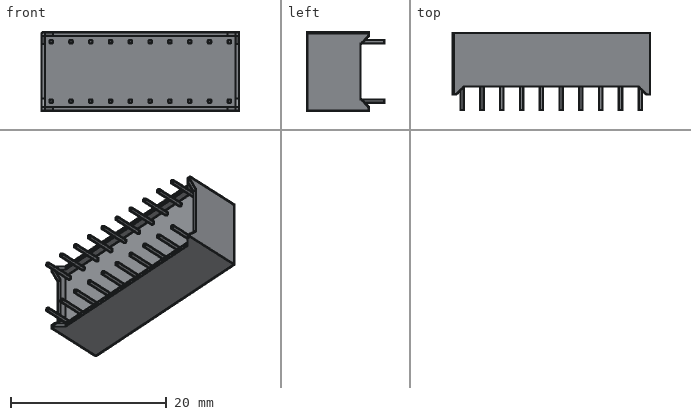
import cadquery as cq

length = 25.4
width = 10.1
body_depth = 7.92
end_wall = 0.5
side_wall = 0.5
cavity_depth = 2.0
key_chamfer = 0.2

side_notch_depth = 1.0
end_notch_depth = 1.06

pin_diameter = 0.46
pin_pitch = 2.54
row_spacing = 7.62
pins_per_row = 10
overall_depth = 9.92

rim_y = -body_depth
cavity_floor_y = rim_y + cavity_depth
pin_length = overall_depth + cavity_floor_y


def make_shell():
    """Box with one keying chamfer and a shallow cavity open towards -Y."""
    box = cq.Workplane("XY").box(length, body_depth, width).translate((0, rim_y / 2, 0))
    box = box.edges("<X and >Z").chamfer(key_chamfer)
    cavity = (
        cq.Workplane("XY")
        .box(length - 2 * end_wall, cavity_depth, width - 2 * side_wall)
        .translate((0, rim_y + cavity_depth / 2, 0))
    )
    return box.cut(cavity)


def notch_outline(plane, half_mouth, depth):
    """Trapezoid on a plane whose second axis is Y, widest at the rim."""
    half_root = half_mouth - depth
    root_y = rim_y + depth
    return plane.polyline(
        [
            (-half_mouth, rim_y),
            (half_mouth, rim_y),
            (half_root, root_y),
            (-half_root, root_y),
        ]
    ).close()


def make_side_notches():
    """Cutter through both long walls, leaving the corner feet."""
    half_mouth = length / 2 - end_wall
    return (
        notch_outline(cq.Workplane("XY"), half_mouth, side_notch_depth)
        .extrude(width / 2, both=True)
    )


def make_end_notches():
    """Cutter through both end walls, leaving the corner feet."""
    half_mouth = width / 2 - side_wall
    return (
        notch_outline(cq.Workplane("ZY"), half_mouth, end_notch_depth)
        .extrude(length / 2, both=True)
    )


def make_pins():
    """Two rows of round pins standing on the cavity floor."""
    return (
        cq.Workplane("XZ", origin=(0, cavity_floor_y, 0))
        .rarray(pin_pitch, row_spacing, pins_per_row, 2)
        .circle(pin_diameter / 2)
        .extrude(pin_length)
    )


housing = make_shell().cut(make_side_notches()).cut(make_end_notches())
result = housing.union(make_pins())